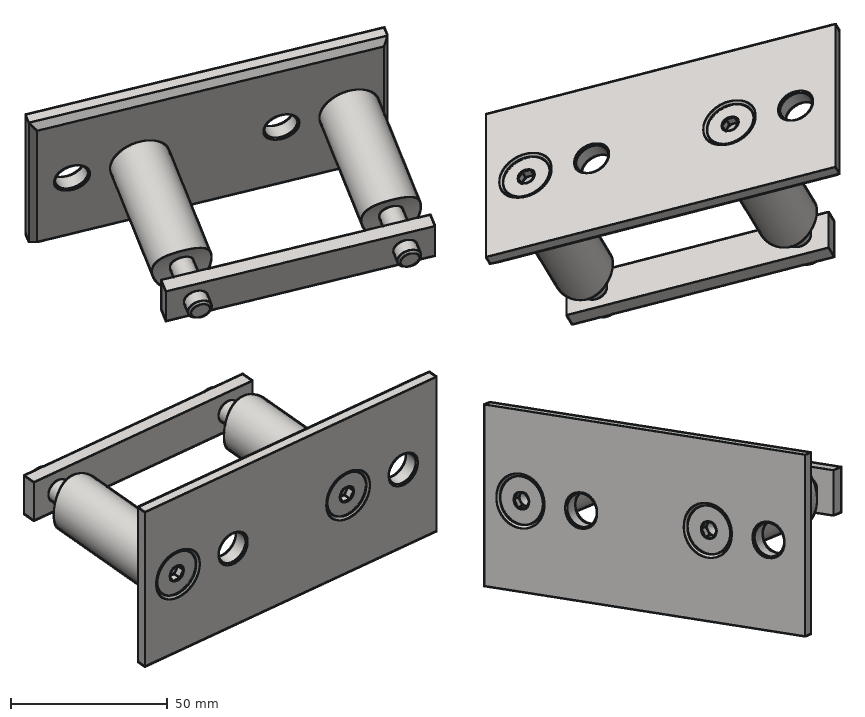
import cadquery as cq
import math

PLATE_THICKNESS = 6.0
PLATE_LENGTH = 120.0
PLATE_HEIGHT = 60.0
BEVEL_DEPTH = 2.4
BEVEL_WIDTH = 2.0
COUNTERSINK_DIAMETER = 18.0

SIDE_HOLE_OFFSET = 22.7
SIDE_HOLE_DIAMETER = 11.0
SIDE_HOLE_CHAMFER = 0.5

POST_SPACING = 70.0
POST_DIAMETER = 20.0
UPPER_POST_Y = 46.4
POST_YS = (UPPER_POST_Y, UPPER_POST_Y - POST_SPACING)
POST_LENGTH = 47.0
SADDLE_RADIUS = 21.2
POST_END_X = PLATE_THICKNESS + POST_LENGTH
SADDLE_AXIS_X = POST_END_X + math.sqrt(SADDLE_RADIUS**2 - (POST_DIAMETER / 2) ** 2)

SCREW_DIAMETER = 8.0
SCREW_LENGTH = 70.0
SCREW_END_CHAMFER = 0.8
HEAD_DIAMETER = 16.0
HEAD_RIM = 0.4
HEAD_CONE_X = (COUNTERSINK_DIAMETER - HEAD_DIAMETER) / 2
HEAD_FACE_X = HEAD_CONE_X - HEAD_RIM
HEAD_CONE_END_X = HEAD_CONE_X + (HEAD_DIAMETER - SCREW_DIAMETER) / 2
SCREW_END_X = HEAD_FACE_X + SCREW_LENGTH

SOCKET_ACROSS_FLATS = 5.0
SOCKET_DEPTH = 3.0
HEX_SIDES = 6
HEX_CORNER_ANGLE = 180.0 / HEX_SIDES
SOCKET_ENTRY_DEPTH = 0.25
SOCKET_TIP_ANGLE = 118.0

BAR_THICKNESS = 5.0
BAR_HEIGHT = 15.0
BAR_FRONT_X = 60.5
BAR_LENGTH = POST_SPACING + POST_DIAMETER


def rod(y, diameter, x_start, x_end):
    """Cylinder along X between two X positions."""
    return (
        cq.Workplane("YZ", origin=(x_start, y, 0))
        .circle(diameter / 2)
        .extrude(x_end - x_start)
    )


def cone(y, diameter_start, diameter_end, x_start, x_end):
    """Truncated or pointed cone along X between two X positions."""
    return cq.Workplane(
        cq.Solid.makeCone(
            diameter_start / 2,
            diameter_end / 2,
            x_end - x_start,
            pnt=cq.Vector(x_start, y, 0),
            dir=cq.Vector(1, 0, 0),
        )
    )


def make_plate():
    """Plate bevelled around its back face, with countersunk and plain holes."""
    plate = (
        cq.Workplane("XY")
        .box(PLATE_THICKNESS, PLATE_LENGTH, PLATE_HEIGHT, centered=(False, True, True))
        .faces(">X")
        .edges()
        .chamfer(BEVEL_WIDTH, BEVEL_DEPTH)
    )
    for post_y in POST_YS:
        plate = plate.cut(cone(post_y, COUNTERSINK_DIAMETER, SCREW_DIAMETER, 0, HEAD_CONE_END_X))
        plate = plate.cut(rod(post_y, SCREW_DIAMETER, 0, PLATE_THICKNESS))

        hole_y = post_y - SIDE_HOLE_OFFSET
        mouth_diameter = SIDE_HOLE_DIAMETER + 2 * SIDE_HOLE_CHAMFER
        back_chamfer_x = PLATE_THICKNESS - SIDE_HOLE_CHAMFER
        plate = plate.cut(cone(hole_y, mouth_diameter, SIDE_HOLE_DIAMETER, 0, SIDE_HOLE_CHAMFER))
        plate = plate.cut(cone(hole_y, SIDE_HOLE_DIAMETER, mouth_diameter, back_chamfer_x, PLATE_THICKNESS))
        plate = plate.cut(rod(hole_y, SIDE_HOLE_DIAMETER, 0, PLATE_THICKNESS))
    return plate


def make_post(y):
    """Tube with a saddle-shaped free end, hollowed about a line parallel to Y."""
    body = rod(y, POST_DIAMETER, PLATE_THICKNESS, POST_END_X)
    saddle = (
        cq.Workplane("XZ", origin=(SADDLE_AXIS_X, y, 0))
        .circle(SADDLE_RADIUS)
        .extrude(POST_DIAMETER, both=True)
    )
    return body.cut(saddle).cut(rod(y, SCREW_DIAMETER, PLATE_THICKNESS, POST_END_X))


def make_socket(y):
    """Cutter for the hexagon socket, with two corners pointing along Y."""
    floor_x = HEAD_FACE_X + SOCKET_DEPTH
    tip_depth = SOCKET_ACROSS_FLATS / 2 / math.tan(math.radians(SOCKET_TIP_ANGLE / 2))
    hexagon = (
        cq.Workplane("YZ", origin=(HEAD_FACE_X, y, 0))
        .transformed(rotate=(0, 0, HEX_CORNER_ANGLE))
        .polygon(HEX_SIDES, SOCKET_ACROSS_FLATS, circumscribed=True)
        .extrude(SOCKET_DEPTH)
    )
    across_corners = SOCKET_ACROSS_FLATS / math.cos(math.radians(HEX_CORNER_ANGLE))
    entry_end_x = HEAD_FACE_X + SOCKET_ENTRY_DEPTH
    entry = cone(y, across_corners, SOCKET_ACROSS_FLATS, HEAD_FACE_X, entry_end_x)
    tip = cone(y, SOCKET_ACROSS_FLATS, 0, floor_x, floor_x + tip_depth)
    return hexagon.union(entry).union(tip)


def make_screw(y):
    """Countersunk screw with a short cylindrical rim on its head."""
    shank = rod(y, SCREW_DIAMETER, HEAD_CONE_X, SCREW_END_X).faces(">X").chamfer(SCREW_END_CHAMFER)
    rim = rod(y, HEAD_DIAMETER, HEAD_FACE_X, HEAD_CONE_X)
    head_cone = cone(y, HEAD_DIAMETER, SCREW_DIAMETER, HEAD_CONE_X, HEAD_CONE_END_X)
    return shank.union(head_cone).union(rim).cut(make_socket(y))


def make_bar():
    """Flat bar with one screw hole in line with each post."""
    bar_center_y = sum(POST_YS) / len(POST_YS)
    bar = (
        cq.Workplane("XY")
        .box(BAR_THICKNESS, BAR_LENGTH, BAR_HEIGHT, centered=(False, True, True))
        .translate((BAR_FRONT_X, bar_center_y, 0))
    )
    for y in POST_YS:
        bar = bar.cut(rod(y, SCREW_DIAMETER, BAR_FRONT_X, BAR_FRONT_X + BAR_THICKNESS))
    return bar


plate = make_plate()
bar = make_bar()
posts = [make_post(y) for y in POST_YS]
screws = [make_screw(y) for y in POST_YS]

result = cq.Compound.makeCompound(
    [
        plate.val(),
        bar.val(),
        *[post.val() for post in posts],
        *[screw.val() for screw in screws],
    ]
)